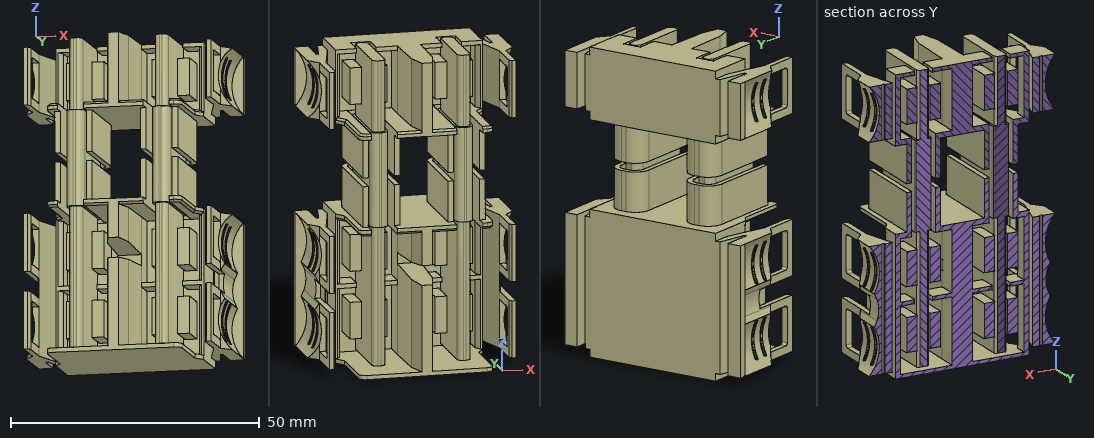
import cadquery as cq
import math


TOTAL_HEIGHT = 65.1
TOTAL_DEPTH = 25.2
LOWER_TOP = 31.05
UPPER_BOTTOM = 49.8
BLOCK_HALF_WIDTH = 15.3
BLOCK_DEPTH = 10.55

WALL = 0.9
GAP_PLATE_THICKNESS = 1.25
GAP_PLATE_CHAMFER = 0.45
PLATE_SHOULDER_DEPTH = 10.8
PLATE_NECK_DEPTH = 12.75
PLATE_NECK_HALF_WIDTH = 13.9
PLATE_CORNER_RADIUS = 1.4

COMPARTMENT_FLOOR = 5.7
COMPARTMENT_OUTER_X = 14.05
COMPARTMENT_MOUTH_X = 14.85
COMPARTMENT_BEVEL_DEPTH = 9.2
BOSS_WIDTH = 7.75
BOSS_HEIGHT = 7.6
BOSS_FRONT = 12.25
BOSS_SLOT_WIDTH = 2.85
RIB_TAPER_DEPTH = 21.0
RIB_BASE_HALF_WIDTH = 2.4
RIB_TAPER_HALF_WIDTH = 2.2
RIB_TIP_HALF_WIDTH = 1.1
NOTCH_CENTRE_Z = 20.95
NOTCH_FLOOR_HEIGHT = 2.3
NOTCH_MOUTH_HEIGHT = 4.1

BLADE_X = 8.85
BLADE_WIDTH = 2.7
BLADE_BACK = 6.1
BLADE_FRONT = 21.0
BLADE_BOTTOM = 1.6
BLADE_NOSE_RADIUS = 1.05
BLADE_BACK_CHAMFER = 0.8
COLLAR_WIDTH = 3.7
COLLAR_BACK = 5.3
COLLAR_FRONT = 21.75
COLLAR_RADIUS = 1.6
COLLAR_ENTRY = 0.45
PASSAGE_WIDTH = 4.05
SHEATH_LENGTH = 8.45
SHEATH_WIDTH = BOSS_WIDTH
SHEATH_WALL = 1.2
SHEATH_BACK = 2.75
SHEATH_FRONT = 22.6
SHEATH_RADIUS = 3.3

CLIP_OUTER_X = 21.35
CLIP_SLOT_X = 18.3
CLIP_SLOT_WIDTH = 0.5
CLIP_SLOT_DEPTH = 6.65
CLIP_ROOT_X = 16.35
CLIP_ROOT_DEPTH = 4.05
PRONG_OUTER_X = 19.4
PRONG_INNER_X = 18.05
PRONG_START = 13.6
PRONG_END = 21.75
PRONG_TIP_BEVEL = 0.45
PRONG_TIP_BEVEL_LENGTH = 0.8
CLIP_BEVEL_START = 11.25
PRONG_HEIGHT = 11.9
CLIP_MARGIN = 1.6
PRONG_GAP_START = 9.9
PRONG_GAP_FACE_X = 18.2
WINDOW_HEIGHT = 8.35
WINDOW_END = 19.7
WINDOW_RADIUS = 0.5

SCOOP_RADIUS = 8.7
SCOOP_START = 1.6
GRIP_DEPTHS = (7.7, 10.75)
GRIP_WIDTH = 0.65
GRIP_HEIGHT = 8.2
GRIP_RISE = 0.2
GRIP_END_RADIUS = 0.25
SADDLE_PEAK = 3.6
SADDLE_PEAK_DEPTH = 1.25
SADDLE_EDGE = 2.3
SADDLE_EDGE_DEPTH = 1.8
SADDLE_MIDDLE_DEPTH = 2.2

LOWER_PRONGS = (CLIP_MARGIN + PRONG_HEIGHT / 2, LOWER_TOP - CLIP_MARGIN - PRONG_HEIGHT / 2)
UPPER_PRONGS = (TOTAL_HEIGHT - CLIP_MARGIN - PRONG_HEIGHT / 2,)
LOWER_BOSSES = (9.05, 23.1)
UPPER_BOSSES = (57.8,)
LOWER_WEB = 15.9
SCOOP_AXIS_X = CLIP_OUTER_X + math.sqrt(SCOOP_RADIUS ** 2 - (PRONG_HEIGHT / 2) ** 2)
SIDES = (-1, 1)


def box(x_range, depth_range, z_range):
    """Box between two x values, two depths and two heights."""
    width = x_range[1] - x_range[0]
    depth = depth_range[1] - depth_range[0]
    height = z_range[1] - z_range[0]
    solid = cq.Workplane("XY").box(width, depth, height, centered=False)
    return solid.translate((x_range[0], -depth_range[1], z_range[0]))


def centred_box(x, width, depth_range, z_range):
    return box((x - width / 2, x + width / 2), depth_range, z_range)


def prism(points, bottom, top):
    """Upright prism from (x, depth) points."""
    outline = [(x, -depth) for x, depth in points]
    return cq.Workplane("XY").workplane(offset=bottom).polyline(outline).close().extrude(top - bottom)


def symmetric_prism(half_points, bottom, top):
    """Prism from the +X half of an outline, mirrored about x = 0."""
    other_half = [(-x, depth) for x, depth in reversed(half_points)]
    return prism(half_points + other_half, bottom, top)


def plate(bottom, top):
    outline = [
        (BLOCK_HALF_WIDTH, 0),
        (BLOCK_HALF_WIDTH, PLATE_SHOULDER_DEPTH),
        (PLATE_NECK_HALF_WIDTH, PLATE_NECK_DEPTH),
        (PLATE_NECK_HALF_WIDTH, TOTAL_DEPTH),
    ]
    slab = symmetric_prism(outline, bottom, top)
    return slab.edges("|Z and <Y").fillet(PLATE_CORNER_RADIUS)


def centre_rib(bottom, top):
    outline = [
        (RIB_BASE_HALF_WIDTH, BLOCK_DEPTH),
        (RIB_TAPER_HALF_WIDTH, RIB_TAPER_DEPTH),
        (RIB_TIP_HALF_WIDTH, TOTAL_DEPTH),
    ]
    return symmetric_prism(outline, bottom, top)


def compartment(side, bottom, top):
    """Pocket in the front of the block with a bevel along the mouth of its outer wall."""
    outline = [
        (side * RIB_BASE_HALF_WIDTH, COMPARTMENT_FLOOR),
        (side * COMPARTMENT_OUTER_X, COMPARTMENT_FLOOR),
        (side * COMPARTMENT_OUTER_X, COMPARTMENT_BEVEL_DEPTH),
        (side * COMPARTMENT_MOUTH_X, BLOCK_DEPTH),
        (side * RIB_BASE_HALF_WIDTH, BLOCK_DEPTH),
    ]
    return prism(outline, bottom, top)


def boss(side, middle):
    """Pair of cheeks that guide the blade on the compartment floor."""
    heights = (middle - BOSS_HEIGHT / 2, middle + BOSS_HEIGHT / 2)
    depths = (COMPARTMENT_FLOOR, BOSS_FRONT)
    cheeks = centred_box(side * BLADE_X, BOSS_WIDTH, depths, heights)
    return cheeks.cut(centred_box(side * BLADE_X, BOSS_SLOT_WIDTH, depths, heights))


def u_profile(side, inset, front, bottom, top):
    """Upright prism with a straight front and a rounded back, inset from the sheath's outer surface."""
    solid = centred_box(side * BLADE_X, SHEATH_WIDTH - 2 * inset, (SHEATH_BACK + inset, front), (bottom, top))
    return solid.edges("|Z and >Y").fillet(SHEATH_RADIUS - inset)


def rib_notch():
    """Opening across the lower centre rib that narrows towards the block."""
    floor = NOTCH_FLOOR_HEIGHT / 2
    mouth = NOTCH_MOUTH_HEIGHT / 2
    outline = [(-BLOCK_DEPTH, -floor), (-BLOCK_DEPTH, floor), (-TOTAL_DEPTH, mouth), (-TOTAL_DEPTH, -mouth)]
    return (
        cq.Workplane("YZ")
        .polyline(outline)
        .close()
        .extrude(RIB_BASE_HALF_WIDTH, both=True)
        .translate((0, 0, NOTCH_CENTRE_Z))
    )


def scoop(middle, radius, depth_range):
    """Cylinder along Y that hollows the outer face of the clip."""
    return (
        cq.Workplane("XZ", origin=(SCOOP_AXIS_X, -depth_range[0], middle))
        .circle(radius)
        .extrude(depth_range[1] - depth_range[0])
    )


def finger_recess(middle):
    """Scoop limited to one prong's height, with raised grip bars left standing on its surface."""
    recess = scoop(middle, SCOOP_RADIUS, (SCOOP_START, PRONG_START))
    for depth in GRIP_DEPTHS:
        depths = (depth - GRIP_WIDTH / 2, depth + GRIP_WIDTH / 2)
        shell = scoop(middle, SCOOP_RADIUS, depths).cut(scoop(middle, SCOOP_RADIUS - GRIP_RISE, depths))
        heights = (middle - GRIP_HEIGHT / 2, middle + GRIP_HEIGHT / 2)
        bar = box((PRONG_INNER_X, CLIP_OUTER_X), depths, heights).edges("|X").fillet(GRIP_END_RADIUS)
        recess = recess.cut(shell.intersect(bar))
    return recess


def saddle(middle):
    """Shallow hollow between two scoops, with a sloped flank on either side."""
    return (
        cq.Workplane("XZ", origin=(CLIP_OUTER_X, -SCOOP_START, middle))
        .moveTo(0, -SADDLE_PEAK)
        .lineTo(-SADDLE_PEAK_DEPTH, -SADDLE_PEAK)
        .lineTo(-SADDLE_EDGE_DEPTH, -SADDLE_EDGE)
        .threePointArc((-SADDLE_MIDDLE_DEPTH, 0), (-SADDLE_EDGE_DEPTH, SADDLE_EDGE))
        .lineTo(-SADDLE_PEAK_DEPTH, SADDLE_PEAK)
        .lineTo(0, SADDLE_PEAK)
        .close()
        .extrude(PRONG_START - SCOOP_START)
    )


def prong_window(middle):
    window = box(
        (PRONG_INNER_X, PRONG_OUTER_X),
        (PRONG_START, WINDOW_END),
        (middle - WINDOW_HEIGHT / 2, middle + WINDOW_HEIGHT / 2),
    )
    return window.edges("|X and <Y").fillet(WINDOW_RADIUS)


def clip(prongs):
    """Spring clip with one window and one finger recess per prong centre."""
    outline = [
        (BLOCK_HALF_WIDTH, 0),
        (CLIP_ROOT_X, 0),
        (CLIP_SLOT_X - CLIP_SLOT_WIDTH, CLIP_SLOT_DEPTH),
        (CLIP_SLOT_X, CLIP_SLOT_DEPTH),
        (CLIP_SLOT_X, 0),
        (CLIP_OUTER_X, 0),
        (CLIP_OUTER_X, CLIP_BEVEL_START),
        (PRONG_OUTER_X, PRONG_START),
        (PRONG_OUTER_X, PRONG_END),
        (PRONG_INNER_X + PRONG_TIP_BEVEL, PRONG_END),
        (PRONG_INNER_X, PRONG_END - PRONG_TIP_BEVEL_LENGTH),
        (PRONG_INNER_X, PRONG_START),
        (BLOCK_HALF_WIDTH, CLIP_ROOT_DEPTH),
    ]
    bottom = prongs[0] - PRONG_HEIGHT / 2
    top = prongs[-1] + PRONG_HEIGHT / 2
    body = prism(outline, bottom, top)
    for middle in prongs:
        body = body.cut(finger_recess(middle)).cut(prong_window(middle))
    for below, above in zip(prongs, prongs[1:]):
        gap = (below + PRONG_HEIGHT / 2, above - PRONG_HEIGHT / 2)
        body = body.cut(saddle((below + above) / 2))
        body = body.cut(box((PRONG_GAP_FACE_X, CLIP_OUTER_X), (PRONG_GAP_START, PRONG_START), gap))
        body = body.cut(box((PRONG_INNER_X, CLIP_OUTER_X), (PRONG_START, PRONG_END), gap))
    return body


def housing(bottom, top, compartments, bosses, prongs, plate_range, plate_inner_face, sheath):
    """Block with compartments, bosses, rib, clips, a chamfered gap plate and the two sheaths."""
    gap_plate = plate(*plate_range).faces(plate_inner_face).chamfer(GAP_PLATE_CHAMFER)
    body = box((-BLOCK_HALF_WIDTH, BLOCK_HALF_WIDTH), (0, BLOCK_DEPTH), (bottom, top)).union(gap_plate)
    right_clip = clip(prongs)
    channel = (min(plate_range + sheath), max(plate_range + sheath))
    for side in SIDES:
        for z_range in compartments:
            body = body.cut(compartment(side, *z_range))
        for middle in bosses:
            body = body.union(boss(side, middle))
        body = body.union(u_profile(side, 0, SHEATH_FRONT, *sheath))
        body = body.cut(u_profile(side, SHEATH_WALL, TOTAL_DEPTH, *channel))
    return body.union(centre_rib(bottom, top)).union(right_clip).union(right_clip.mirror("YZ"))


def blade_passages(bottom, top):
    """Slots for both blades through a roof or a web."""
    depths = (COMPARTMENT_FLOOR, BLOCK_DEPTH)
    left, right = [centred_box(side * BLADE_X, PASSAGE_WIDTH, depths, (bottom, top)) for side in SIDES]
    return left.union(right)


def lower_housing():
    plate_bottom = LOWER_TOP - GAP_PLATE_THICKNESS
    web = (LOWER_WEB - WALL / 2, LOWER_WEB + WALL / 2)
    body = housing(
        0,
        LOWER_TOP,
        ((WALL, web[0]), (web[1], plate_bottom)),
        LOWER_BOSSES,
        LOWER_PRONGS,
        (plate_bottom, LOWER_TOP),
        "<Z",
        (LOWER_TOP, LOWER_TOP + SHEATH_LENGTH),
    )
    return body.union(plate(0, WALL)).cut(blade_passages(*web)).cut(rib_notch())


def upper_housing():
    plate_top = UPPER_BOTTOM + GAP_PLATE_THICKNESS
    roof = (TOTAL_HEIGHT - WALL, TOTAL_HEIGHT)
    body = housing(
        UPPER_BOTTOM,
        TOTAL_HEIGHT,
        ((plate_top, roof[0]),),
        UPPER_BOSSES,
        UPPER_PRONGS,
        (UPPER_BOTTOM, plate_top),
        ">Z",
        (UPPER_BOTTOM - SHEATH_LENGTH, UPPER_BOTTOM),
    )
    return body.cut(blade_passages(*roof))


def blade(side):
    """Long contact blade with a thicker collar where it crosses the gap between the housings."""
    x = side * BLADE_X
    strip = centred_box(x, BLADE_WIDTH, (BLADE_BACK, BLADE_FRONT), (BLADE_BOTTOM, TOTAL_HEIGHT))
    strip = strip.edges("|Z and <Y").fillet(BLADE_NOSE_RADIUS).edges("|Z and >Y").chamfer(BLADE_BACK_CHAMFER)
    collar_heights = (LOWER_TOP - COLLAR_ENTRY, UPPER_BOTTOM + COLLAR_ENTRY)
    collar = centred_box(x, COLLAR_WIDTH, (COLLAR_BACK, COLLAR_FRONT), collar_heights)
    return strip.union(collar.edges("|Z").fillet(COLLAR_RADIUS))


lower = lower_housing()
upper = upper_housing()
blades = [blade(side).val() for side in SIDES]

result = cq.Compound.makeCompound([lower.val(), upper.val(), *blades])